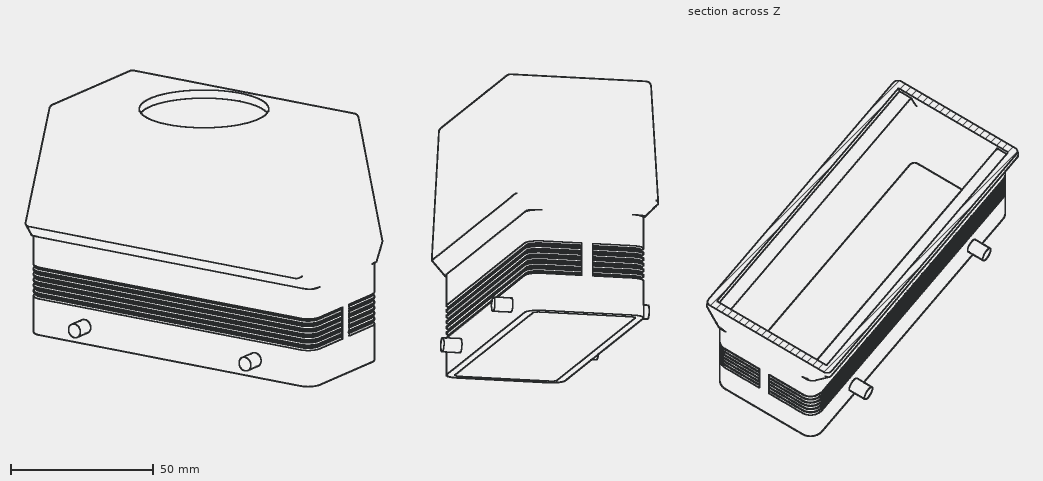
import cadquery as cq
import math

length = 120.0
height = 87.0
wall = 3.0
edge_radius = 2.0

skirt_width = 43.0
skirt_height = 36.0
skirt_corner_radius = 5.0
skirt_inner_radius = skirt_corner_radius - wall

body_width = 53.0
flare = (body_width - skirt_width) / 2
shoulder_height = skirt_height + flare
end_slope = math.tan(math.radians(13.0))
cable_hole_diameter = 45.5

groove_count = 6
groove_pitch = 2.0
groove_opening = 1.6
groove_floor = 0.4
groove_depth = 0.75
first_groove_z = 14.1
end_rib_width = 4.0

pin_diameter = 5.0
pin_span = 56.0
pin_x = 36.0
pin_z = 6.5


def half_length_at(z):
    """Half of the body length at height z, between the leaning ends."""
    return length / 2 - (z - skirt_height) * end_slope


def end_taper(bottom, top, inset):
    """Trapezoidal prism between the leaning ends, centred on Y; inset shortens each end along X."""
    low = half_length_at(bottom) - inset
    high = half_length_at(top) - inset
    outline = [(-low, bottom), (low, bottom), (high, top), (-high, top)]
    return cq.Workplane("XZ").polyline(outline).close().extrude(body_width / 2, both=True)


def make_skirt():
    skirt = cq.Workplane("XY").rect(length, skirt_width).extrude(skirt_height)
    return skirt.edges("|Z").fillet(skirt_corner_radius)


def make_upper_body():
    half_skirt = skirt_width / 2
    half_body = body_width / 2
    section = [
        (-half_skirt, skirt_height),
        (half_skirt, skirt_height),
        (half_body, shoulder_height),
        (half_body, height),
        (-half_body, height),
        (-half_body, shoulder_height),
    ]
    flared = cq.Workplane("YZ").polyline(section).close().extrude(length / 2, both=True)
    body = flared.intersect(end_taper(skirt_height, height, 0))
    end_edges = body.faces("<X or >X").edges("not <Z")
    long_top_edges = body.faces(">Z").edges("|X")
    return body.newObject(end_edges.vals() + long_top_edges.vals()).fillet(edge_radius)


def make_cavity():
    """Narrow opening through the skirt and a wider room above, ending in a flat ledge at the shoulder."""
    opening = cq.Workplane("XY").rect(length - 2 * wall, skirt_width - 2 * wall).extrude(shoulder_height)
    opening = opening.edges("|Z").fillet(skirt_inner_radius)
    ceiling = height - wall
    room = cq.Workplane("XY").workplane(offset=shoulder_height)
    room = room.rect(length, body_width - 2 * wall).extrude(ceiling - shoulder_height)
    end_inset = wall * math.hypot(1, end_slope)
    return opening.union(room).intersect(end_taper(0, ceiling, end_inset))


def make_cable_hole():
    start = cq.Workplane("XY").workplane(offset=height - 2 * wall)
    return start.circle(cable_hole_diameter / 2).extrude(2 * wall)


def make_groove():
    """One trapezoidal groove around the skirt, interrupted by a plain rib in the middle of each end."""
    path = make_skirt().faces("<Z").wires().val()
    face = skirt_width / 2
    section = [
        (-face, -groove_opening / 2),
        (-face, groove_opening / 2),
        (-face + groove_depth, groove_floor / 2),
        (-face + groove_depth, -groove_floor / 2),
    ]
    groove = cq.Workplane("YZ").polyline(section).close().sweep(path, transition="round")
    return groove.cut(cq.Workplane("XY").box(2 * length, end_rib_width, groove_pitch))


def make_pin(x, side):
    """Locking pin on the front (side = -1) or back (side = 1), rooted halfway into the wall."""
    root = skirt_width / 2 - wall / 2
    pin = cq.Workplane("XZ", origin=(x, side * root, pin_z)).circle(pin_diameter / 2)
    return pin.extrude(-side * (pin_span / 2 - root))


result = make_skirt().union(make_upper_body()).cut(make_cavity()).cut(make_cable_hole())

groove = make_groove()
for index in range(groove_count):
    result = result.cut(groove.translate((0, 0, first_groove_z + index * groove_pitch)))

for x in (-pin_x, pin_x):
    for side in (-1, 1):
        result = result.union(make_pin(x, side))